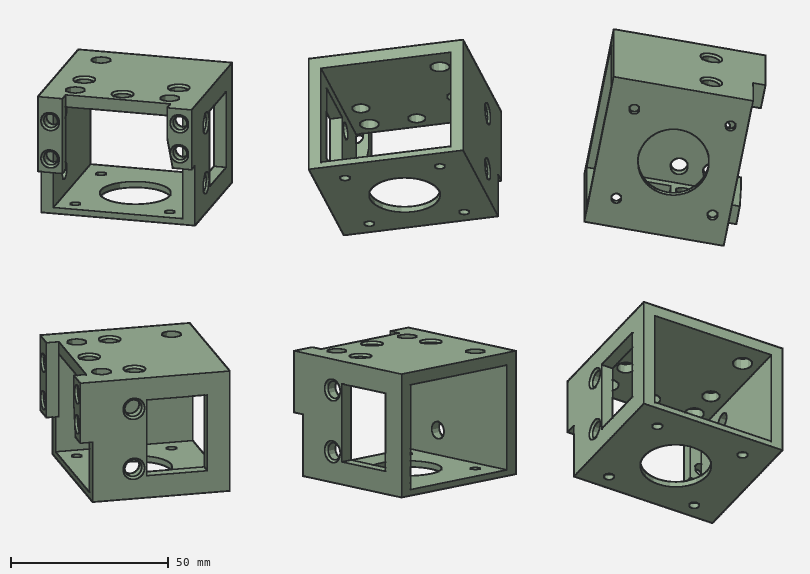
import cadquery as cq

width = 50.5
depth = 49.0
height = 40.0
wall = 4.05
floor_thickness = 2.0

tab_depth = 4.05
tab_width = 8.1
left_tab_drop = 25.0
right_tab_drop = 20.0
taper_start_drop = 10.0
right_tab_end_width = 6.25
tab_bore = 4.5
tab_mouth = 6.0
left_tab_hole_drops = (8.0, 20.45)
right_tab_hole_drops = (5.0, 15.0)

motor_x = width / 2
motor_y = 25.0
motor_pitch = 31.0
motor_bore = 22.5
motor_screw = 3.25
tool_access = 6.05

mount_bore = 5.5
mount_mouth = 7.0
top_mount_y = 20.25
side_mount_y = 17.5
side_mount_heights = (10.0, 30.0)

window_front = 21.8
window_margin = 7.35


def countersunk_cutter(origin, direction, length, bore, mouth):
    """Round cutter starting at a face, with a 45 degree flare at its mouth."""
    start = cq.Vector(*origin)
    axis = cq.Vector(*direction)
    flare_depth = (mouth - bore) / 2
    shaft = cq.Solid.makeCylinder(bore / 2, length, start, axis)
    flare = cq.Solid.makeCone(mouth / 2, bore / 2, flare_depth, start, axis)
    return cq.Workplane(obj=shaft).union(cq.Workplane(obj=flare))


def vertical_cutter(x, y, bottom, length, diameter):
    """Plain round cutter along Z."""
    return cq.Workplane("XY", origin=(x, y, bottom)).circle(diameter / 2).extrude(length)


def front_tab(outline):
    """Tab drawn in XZ, reaching from the front plane back to the box."""
    return cq.Workplane("XZ").polyline(outline).close().extrude(-tab_depth)


body = cq.Workplane("XY").box(width, depth - tab_depth, height, centered=False).translate((0, tab_depth, 0))
cavity_height = height - wall - floor_thickness
cavity = cq.Workplane("XY").box(width - 2 * wall, depth, cavity_height, centered=False)
body = body.cut(cavity.translate((wall, 0, floor_thickness)))

left_bottom = height - left_tab_drop
right_bottom = height - right_tab_drop
body = body.union(front_tab([
    (0, height),
    (tab_width, height),
    (tab_width, left_bottom),
    (0, left_bottom),
]))
body = body.union(front_tab([
    (width, height),
    (width - tab_width, height),
    (width - tab_width, height - taper_start_drop),
    (width - right_tab_end_width, right_bottom),
    (width, right_bottom),
]))

for x, drops in ((wall, left_tab_hole_drops), (width - wall, right_tab_hole_drops)):
    for drop in drops:
        body = body.cut(countersunk_cutter((x, 0, height - drop), (0, 1, 0), tab_depth, tab_bore, tab_mouth))

body = body.cut(vertical_cutter(motor_x, motor_y, 0, floor_thickness, motor_bore))
screw_left = motor_x - motor_pitch / 2
screw_right = motor_x + motor_pitch / 2
screw_front = motor_y - motor_pitch / 2
screw_back = motor_y + motor_pitch / 2
for x in (screw_left, screw_right):
    for y in (screw_front, screw_back):
        body = body.cut(vertical_cutter(x, y, 0, floor_thickness, motor_screw))

for x, y in ((screw_left, screw_front), (screw_right, screw_front), (screw_left, screw_back)):
    body = body.cut(vertical_cutter(x, y, height - wall, wall, tool_access))

for x, y in ((screw_left, top_mount_y), (screw_right, top_mount_y), (motor_x, screw_front)):
    body = body.cut(countersunk_cutter((x, y, height), (0, 0, -1), wall, mount_bore, mount_mouth))

for z in side_mount_heights:
    for x, inward in ((0, 1), (width, -1)):
        body = body.cut(countersunk_cutter((x, side_mount_y, z), (inward, 0, 0), wall, mount_bore, mount_mouth))

window = cq.Workplane("XY").box(
    wall, depth - window_margin - window_front, height - 2 * window_margin, centered=False
)
result = body.cut(window.translate((width - wall, window_front, window_margin)))